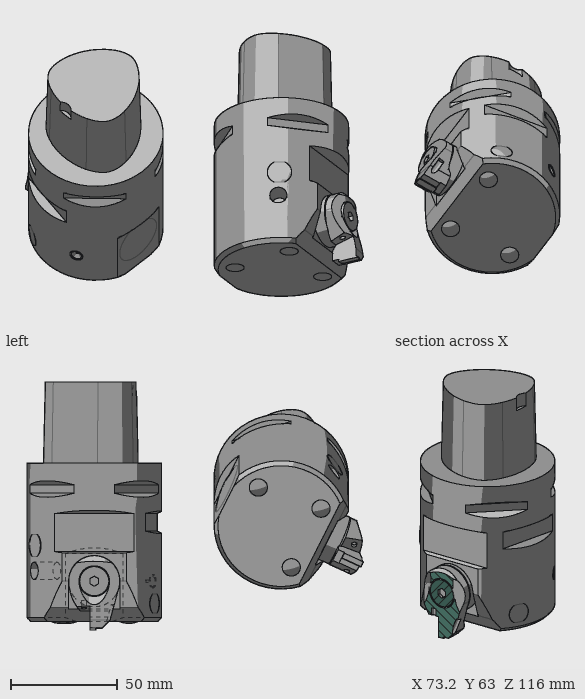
import cadquery as cq
import math


SHANK_HEIGHT = 38.0
SHANK_MEAN_RADIUS = 22.2
SHANK_LOBE = 1.6
SHANK_TAPER = 0.85
LOBE_HALF_ANGLE = 37.5
OUTLINE_STEPS = 8
KEY_RADIUS = 5.0
KEY_DEPTH_Z = 6.4
KEY_FLOOR_Y = -18.0

BODY_RADIUS = 63.0 / 2
BODY_BOTTOM = -74.1
BODY_CHAMFER = 1.9

GRIPPER_DISTANCE = 27.9
GRIPPER_Z = (-14.0, -10.1)
GRIPPER_WALL_ANGLE = 28.0

CUTTER_WALL_ANGLE = 15.0
SIDE_SLOT_ANGLE = 260.0
SIDE_SLOT_DISTANCE = 27.2
SIDE_SLOT_Z = (-31.8, -23.4)
LEFT_POCKET_DISTANCE = 25.5
LEFT_POCKET_Z = (-41.3, -23.6)

LEFT_FLAT_X = -27.7
LEFT_FLAT_TOP = -41.6
LEFT_KNEE = (-23.9, -67.4)
LEFT_FOOT_X = -19.9

RIGHT_FLAT_X = 28.5
RIGHT_FLAT_TOP = -42.3
RIGHT_RAMP_HEIGHT = 2.7

TOOL_AXIS_Z = -55.15
SEAT_RADIUS = 24.0 / 2
SEAT_FACE_X = -29.7
RECESS_HALF_WIDTH = 12.1
RECESS_FLOOR_X = -23.5
REAR_DOME_HEIGHT = 1.8

PLUG_STEM = 2.0
PLUG_RISE = 0.5
PLUG_BASE_RADIUS = BODY_RADIUS - 0.1
FRONT_PLUG = (244.4, -65.6)
FRONT_PLUG_RADIUS = 10.02 / 2
BACK_PLUG = (117.5, -38.4)
BACK_PLUG_RADIUS = 11.4 / 2
BACK_HOLE = (116.5, -50.3)
BACK_HOLE_RADIUS = 8.0 / 2
BACK_HOLE_DEPTH = 12.0
SET_SCREW = (299.0, TOOL_AXIS_Z)
SET_SCREW_RADIUS = 6.25 / 2
SET_SCREW_RIM = 0.4
SET_SCREW_CONE_RADIUS = 5.01 / 2
SET_SCREW_CONE_DEPTH = 1.4
SET_SCREW_BORE_RADIUS = 0.6
SET_SCREW_BORE_DEPTH = 2.0
BOTTOM_PLUG_CENTRES = [(-13.0, -16.2), (-13.0, 15.8), (17.9, 12.4)]
BOTTOM_PLUG_RADIUS = 8.5 / 2
BOTTOM_PLUG_RISE = 0.85

HEAD_RADIUS = 23.84 / 2
HEAD_BACK_X = -30.2
HEAD_CREST = [
    (-37.4, -42.0), (-37.4, -56.0), (-38.7, -62.8), (-40.0, -67.5), (-41.1, -73.4), (-41.9, -78.5),
]
ARM_FRONT_X = -41.1
HEAD_DOME_RADIUS = 21.0
TOP_BEVEL_X = -34.4
TOP_BEVEL_RADIUS = 16.0
ARM_INNER_Y = 2.0
ARM_TAPER_ANGLE = 15.6
ARM_BEVEL_START = (-7.4, -73.4)
ARM_BEVEL_END = (-3.6, -77.2)
STEP_Y = 6.5
STEP_OUTER_X = -40.5
STEP_OUTER_Z = -66.5
STEP_INNER_Z = -69.1
HEEL_X = -28.6
HEEL_TOP = -69.2
HEEL_SHOULDER_Z = -71.8
HEEL_BOTTOM = -76.9
HEEL_END_X = -31.8
TIP_Z = -78.0
TIP_X = -41.73
TIP_LAND_Y = -0.8
TIP_LIP_TOP = -77.0
COOLANT_GROOVE_RADIUS = 2.8 / 2
COOLANT_GROOVE_TOP = (-34.6, -66.5)
COOLANT_GROOVE_END = (-37.5, -76.0)
COOLANT_HOLE_RADIUS = 2.5 / 2
COOLANT_HOLE_CENTRE = (-35.5, 4.8)
COOLANT_HOLE_DEPTH = 5.0

SCREW_RADIUS = 13.6 / 2
SCREW_TOP_X = -37.1
SCREW_SEAT_X = -33.0
COUNTERBORE_RADIUS = 14.3 / 2
SCOOP_START_X = -36.0
SCOOP_LENGTH = 5.0
SCOOP_DROP = 5.3
HEX_ACROSS_FLATS = 4.1
HEX_DEPTH = 2.5

FAR = 60.0
CUT_CLEARANCE = 1.0


def block(x0, x1, y0, y1, z0, z1):
    return cq.Workplane("XY").box(x1 - x0, y1 - y0, z1 - z0, centered=False).translate((x0, y0, z0))


def cylinder_along_x(radius, x0, x1):
    """Cylinder on the tool axis."""
    return (
        cq.Workplane("YZ", origin=(x0, 0, TOOL_AXIS_Z))
        .circle(radius)
        .extrude(x1 - x0)
    )


def radial_plane(angle, distance, z):
    """Plane facing outward at the given angle about Z; its local x is tangential, its local y is +Z."""
    a = math.radians(angle)
    outward = (math.cos(a), math.sin(a), 0)
    tangent = (-math.sin(a), math.cos(a), 0)
    origin = (distance * outward[0], distance * outward[1], z)
    return cq.Plane(origin=origin, xDir=tangent, normal=outward)


def domed_plug(plane, radius, rise):
    """Round plug along the plane's normal: a buried stem below the plane, a dome above it."""
    profile_plane = cq.Plane(origin=plane.origin, xDir=plane.xDir, normal=-plane.yDir)
    sphere_radius = (radius ** 2 + rise ** 2) / (2 * rise)
    mid_radius = radius / 2
    mid_height = rise - sphere_radius + math.sqrt(sphere_radius ** 2 - mid_radius ** 2)
    return (
        cq.Workplane(profile_plane)
        .moveTo(0, -PLUG_STEM)
        .lineTo(radius, -PLUG_STEM)
        .lineTo(radius, 0)
        .threePointArc((mid_radius, mid_height), (0, rise))
        .close()
        .revolve(360, (0, 0, 0), (0, 1, 0))
    )


def trapezoid_slot(angle, distance, z_range, wall_angle):
    """Straight slot across the body with a flat floor and walls that lean open outward."""
    z_low, z_high = z_range
    depth = 2 * (BODY_RADIUS - distance)
    return (
        cq.Workplane(radial_plane(angle, distance, (z_low + z_high) / 2))
        .rect(2 * BODY_RADIUS, z_high - z_low)
        .extrude(depth, taper=-wall_angle)
    )


def shank_point(angle, mean_radius):
    """Point of the three-lobed outline whose outward normal has the given angle from a lobe on +Y."""
    a = math.radians(angle)
    support = mean_radius + SHANK_LOBE * math.cos(3 * a)
    slope = -3 * SHANK_LOBE * math.sin(3 * a)
    lateral = support * math.sin(a) + slope * math.cos(a)
    radial = support * math.cos(a) - slope * math.sin(a)
    return cq.Vector(-lateral, radial, 0)


def shank_wire(mean_radius, z):
    """Closed outline of three lobes and three flanks, each one smooth curve."""
    edges = []
    for lobe in range(3):
        start = 120 * lobe - LOBE_HALF_ANGLE
        middle = 120 * lobe + LOBE_HALF_ANGLE
        for first, last in ((start, middle), (middle, start + 120)):
            step = (last - first) / OUTLINE_STEPS
            points = [shank_point(first + i * step, mean_radius) for i in range(OUTLINE_STEPS + 1)]
            tangents = []
            for angle in (first, last):
                a = math.radians(angle)
                tangents.append(cq.Vector(-math.cos(a), -math.sin(a), 0))
            edges.append(cq.Edge.makeSpline(points, tangents=tangents))
    return cq.Wire.assembleEdges(edges).translate(cq.Vector(0, 0, z))


def make_shank():
    bottom = shank_wire(SHANK_MEAN_RADIUS, 0)
    top = shank_wire(SHANK_MEAN_RADIUS - SHANK_TAPER, SHANK_HEIGHT)
    shank = cq.Workplane(cq.Solid.makeLoft([bottom, top], True))
    key = (
        cq.Workplane("XY", origin=(0, KEY_FLOOR_Y - KEY_RADIUS, SHANK_HEIGHT - KEY_DEPTH_Z))
        .circle(KEY_RADIUS)
        .extrude(2 * KEY_DEPTH_Z)
    )
    return shank.cut(key)


def left_side_cut():
    """Flat on the -X side that breaks into two slopes toward the bottom."""
    knee_x, knee_z = LEFT_KNEE
    slope = (LEFT_FOOT_X - knee_x) / (BODY_BOTTOM - knee_z)
    below = BODY_BOTTOM - CUT_CLEARANCE
    return (
        cq.Workplane("XZ", origin=(0, FAR, 0))
        .polyline([
            (-FAR, LEFT_FLAT_TOP),
            (LEFT_FLAT_X, LEFT_FLAT_TOP),
            (LEFT_FLAT_X, TOOL_AXIS_Z),
            LEFT_KNEE,
            (knee_x + slope * (below - knee_z), below),
            (-FAR, below),
        ])
        .close()
        .extrude(2 * FAR)
    )


def right_side_cut():
    """Flat on the +X side with a ramp at its upper end."""
    below = BODY_BOTTOM - CUT_CLEARANCE
    return (
        cq.Workplane("XZ", origin=(0, FAR, 0))
        .polyline([
            (RIGHT_FLAT_X, below),
            (RIGHT_FLAT_X, RIGHT_FLAT_TOP),
            (BODY_RADIUS, RIGHT_FLAT_TOP + RIGHT_RAMP_HEIGHT),
            (FAR, RIGHT_FLAT_TOP + RIGHT_RAMP_HEIGHT),
            (FAR, below),
        ])
        .close()
        .extrude(2 * FAR)
    )


def set_screw_cut():
    """Stepped rim, conical hollow and small bore."""
    angle, z = SET_SCREW
    plane = radial_plane(angle, BODY_RADIUS - SET_SCREW_RIM, z)
    rim = cq.Workplane(plane).circle(SET_SCREW_RADIUS).extrude(2 * SET_SCREW_RIM)
    cone = cq.Solid.makeCone(
        SET_SCREW_CONE_RADIUS, SET_SCREW_BORE_RADIUS, SET_SCREW_CONE_DEPTH, plane.origin, -plane.zDir
    )
    bore_length = SET_SCREW_CONE_DEPTH + SET_SCREW_BORE_DEPTH
    bore = cq.Workplane(plane).circle(SET_SCREW_BORE_RADIUS).extrude(-bore_length)
    return rim.union(cq.Workplane(cone)).union(bore)


def make_holder():
    body = (
        cq.Workplane("XY", origin=(0, 0, BODY_BOTTOM))
        .circle(BODY_RADIUS)
        .extrude(-BODY_BOTTOM)
        .faces("<Z")
        .chamfer(BODY_CHAMFER)
    )
    for angle in (45, 135, 225, 315):
        body = body.cut(trapezoid_slot(angle, GRIPPER_DISTANCE, GRIPPER_Z, GRIPPER_WALL_ANGLE))
    body = body.cut(trapezoid_slot(SIDE_SLOT_ANGLE, SIDE_SLOT_DISTANCE, SIDE_SLOT_Z, CUTTER_WALL_ANGLE))
    body = body.cut(trapezoid_slot(180, LEFT_POCKET_DISTANCE, LEFT_POCKET_Z, CUTTER_WALL_ANGLE))
    body = body.cut(left_side_cut()).cut(right_side_cut())

    recess = block(-FAR, RECESS_FLOOR_X, -RECESS_HALF_WIDTH, RECESS_HALF_WIDTH, BODY_BOTTOM, TOOL_AXIS_Z)
    body = body.cut(recess)
    body = body.union(cylinder_along_x(SEAT_RADIUS, SEAT_FACE_X, 0))
    rear_plane = radial_plane(0, RIGHT_FLAT_X, TOOL_AXIS_Z)
    body = body.union(domed_plug(rear_plane, SEAT_RADIUS, REAR_DOME_HEIGHT))

    for (angle, z), radius in ((FRONT_PLUG, FRONT_PLUG_RADIUS), (BACK_PLUG, BACK_PLUG_RADIUS)):
        body = body.union(domed_plug(radial_plane(angle, PLUG_BASE_RADIUS, z), radius, PLUG_RISE))
    for x, y in BOTTOM_PLUG_CENTRES:
        plane = cq.Plane(origin=(x, y, BODY_BOTTOM), xDir=(1, 0, 0), normal=(0, 0, -1))
        body = body.union(domed_plug(plane, BOTTOM_PLUG_RADIUS, BOTTOM_PLUG_RISE))

    hole_angle, hole_z = BACK_HOLE
    hole = (
        cq.Workplane(radial_plane(hole_angle, BODY_RADIUS - BACK_HOLE_DEPTH, hole_z))
        .circle(BACK_HOLE_RADIUS)
        .extrude(2 * BACK_HOLE_DEPTH)
    )
    return body.cut(hole).cut(set_screw_cut()).union(make_shank())


def head_outline():
    """Cutting head seen along X: a round end that runs out into the arm and the tip."""
    taper = math.radians(ARM_TAPER_ANGLE)
    tangent_point = (-HEAD_RADIUS * math.cos(taper), TOOL_AXIS_Z - HEAD_RADIUS * math.sin(taper))
    flank_inset = HEAD_RADIUS - STEP_Y
    flank_drop = TOOL_AXIS_Z - STEP_INNER_Z
    flank_radius = (flank_inset ** 2 + flank_drop ** 2) / (2 * flank_inset)
    return (
        cq.Workplane("YZ", origin=(-FAR, 0, 0))
        .moveTo(HEAD_RADIUS, TOOL_AXIS_Z)
        .threePointArc((0, TOOL_AXIS_Z + HEAD_RADIUS), tangent_point)
        .lineTo(*ARM_BEVEL_START)
        .lineTo(*ARM_BEVEL_END)
        .lineTo(TIP_LAND_Y, ARM_BEVEL_END[1])
        .lineTo(TIP_LAND_Y, TIP_Z)
        .lineTo(ARM_INNER_Y, TIP_Z)
        .lineTo(ARM_INNER_Y, STEP_INNER_Z)
        .lineTo(STEP_Y, STEP_INNER_Z)
        .radiusArc((HEAD_RADIUS, TOOL_AXIS_Z), -flank_radius)
        .close()
        .extrude(FAR)
    )


def head_side():
    """Cutting head seen along Y: flat back and a heel behind the tip."""
    top_z = TOOL_AXIS_Z + HEAD_RADIUS
    return (
        cq.Workplane("XZ", origin=(0, FAR, 0))
        .polyline([
            (HEAD_BACK_X, top_z),
            (-FAR, top_z),
            (-FAR, TIP_Z),
            (HEEL_END_X, TIP_Z),
            (HEEL_END_X, HEEL_BOTTOM),
            (HEEL_X, HEEL_BOTTOM),
            (HEEL_X, HEEL_SHOULDER_Z),
            (HEAD_BACK_X, HEEL_TOP),
        ])
        .close()
        .extrude(2 * FAR)
    )


def head_envelope():
    """Rounded front of the head: a disc swept down along its crest, cut upright near the tip."""
    crest = cq.Workplane("XZ").spline(HEAD_CREST)
    start_x, start_z = HEAD_CREST[0]
    swept = (
        cq.Workplane("XY", origin=(start_x + HEAD_DOME_RADIUS, 0, start_z))
        .circle(HEAD_DOME_RADIUS)
        .sweep(crest)
    )
    upright = (
        cq.Workplane("XY", origin=(ARM_FRONT_X + HEAD_DOME_RADIUS, 0, -2 * FAR))
        .circle(HEAD_DOME_RADIUS)
        .extrude(2 * FAR)
    )
    return swept.intersect(upright)


def top_bevel_cut():
    """Everything outside a 45 degree cone, over the upper half of the round end."""
    cone_axis_z = TOOL_AXIS_Z + HEAD_RADIUS - TOP_BEVEL_RADIUS
    base_radius = TOP_BEVEL_RADIUS + HEAD_BACK_X - TOP_BEVEL_X
    cone = cq.Solid.makeCone(
        base_radius, 0, base_radius, cq.Vector(HEAD_BACK_X, 0, cone_axis_z), cq.Vector(-1, 0, 0)
    )
    upper_half = block(HEAD_BACK_X - base_radius, HEAD_BACK_X, -FAR, FAR, TOOL_AXIS_Z, 0)
    return upper_half.cut(cq.Workplane(cone))


def tip_lip():
    """Cutting edge that stands out in front of the arm."""
    return (
        cq.Workplane("XZ", origin=(0, ARM_INNER_Y, 0))
        .polyline([
            (HEEL_END_X, TIP_LIP_TOP),
            (ARM_FRONT_X, TIP_LIP_TOP),
            (TIP_X, TIP_Z),
            (HEEL_END_X, TIP_Z),
        ])
        .close()
        .extrude(ARM_INNER_Y - TIP_LAND_Y)
    )


def step_cut():
    """Sloped underside of the round end, beside the arm."""
    return (
        cq.Workplane("XZ", origin=(0, FAR, 0))
        .polyline([
            (STEP_OUTER_X, STEP_OUTER_Z),
            (HEAD_BACK_X, STEP_INNER_Z),
            (HEAD_BACK_X, TIP_Z),
            (STEP_OUTER_X, TIP_Z),
        ])
        .close()
        .extrude(FAR - ARM_INNER_Y)
    )


def coolant_groove():
    """Round groove along the tapered flank of the arm, parallel to that flank."""
    taper = math.tan(math.radians(ARM_TAPER_ANGLE))
    ends = []
    for x, z in (COOLANT_GROOVE_TOP, COOLANT_GROOVE_END):
        y = ARM_BEVEL_START[0] + taper * (ARM_BEVEL_START[1] - z)
        ends.append(cq.Vector(x, y, z))
    direction = ends[1] - ends[0]
    return cq.Workplane(cq.Solid.makeCylinder(COOLANT_GROOVE_RADIUS, direction.Length, ends[0], direction))


def access_scoop():
    """Oblique round relief that opens the counterbore toward the arm."""
    return (
        cq.Workplane("YZ", origin=(SCOOP_START_X, 0, TOOL_AXIS_Z))
        .circle(COUNTERBORE_RADIUS)
        .workplane(offset=-SCOOP_LENGTH)
        .center(0, -SCOOP_DROP)
        .circle(COUNTERBORE_RADIUS)
        .loft(ruled=True)
    )


def make_head():
    head = head_outline().intersect(head_side()).intersect(head_envelope())
    head = head.cut(top_bevel_cut()).union(tip_lip()).cut(step_cut()).cut(coolant_groove())

    hole_x, hole_y = COOLANT_HOLE_CENTRE
    hole = (
        cq.Workplane("XY", origin=(hole_x, hole_y, STEP_INNER_Z))
        .circle(COOLANT_HOLE_RADIUS)
        .extrude(COOLANT_HOLE_DEPTH)
    )
    counterbore = cylinder_along_x(COUNTERBORE_RADIUS, -FAR, SCREW_SEAT_X)
    return head.cut(hole).cut(counterbore.union(access_scoop()))


def make_screw():
    """Screw head with a hexagon socket."""
    socket = (
        cq.Workplane("YZ", origin=(SCREW_TOP_X, 0, TOOL_AXIS_Z))
        .polygon(6, HEX_ACROSS_FLATS, circumscribed=True)
        .extrude(HEX_DEPTH)
    )
    return cylinder_along_x(SCREW_RADIUS, SCREW_TOP_X, SCREW_SEAT_X).cut(socket)


holder = make_holder()
cutting_head = make_head()
clamp_screw = make_screw()

result = cq.Compound.makeCompound([
    holder.solids().val(),
    cutting_head.solids().val(),
    clamp_screw.solids().val(),
])